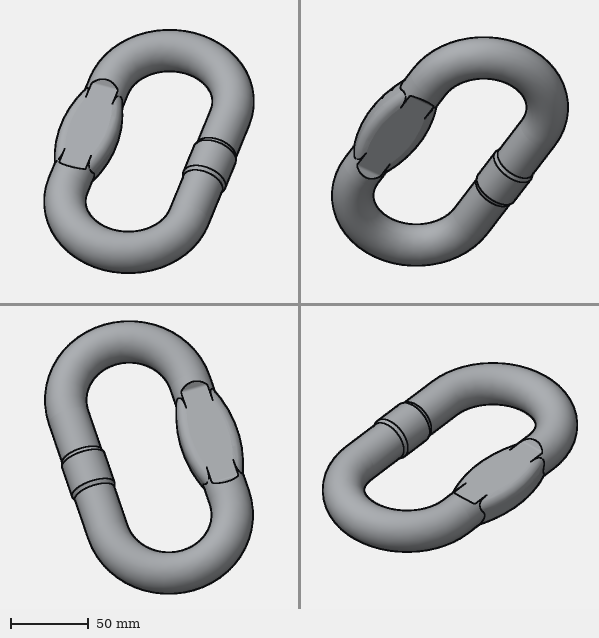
import cadquery as cq
import math

link_length = 193.7
bar_diameter = 27.0
bar_radius = bar_diameter / 2
link_width = 108.9
bend_radius = (link_width - bar_diameter) / 2
straight_length = link_length - link_width
half_straight = straight_length / 2

collar_diameter = 29.0
collar_length = 27.3
collar_taper_length = 3.0

flat_height = 10.0
flat_half_length = 33.5
flat_corner_radius = 2.3

bulge_half_width = 18.8
bulge_side_radius = 81.4
bulge_edge_radius = 6.5
bulge_half_length = 33.0


def oval_bar():
    """Sweep the round bar along its closed oval centreline."""
    centreline = (
        cq.Workplane("XY")
        .moveTo(bend_radius, -half_straight)
        .lineTo(bend_radius, half_straight)
        .threePointArc((0, half_straight + bend_radius), (-bend_radius, half_straight))
        .lineTo(-bend_radius, -half_straight)
        .threePointArc((0, -half_straight - bend_radius), (bend_radius, -half_straight))
        .close()
    )
    section = cq.Workplane("XZ", origin=(bend_radius, -half_straight, 0)).circle(bar_radius)
    return section.sweep(centreline)


def collar():
    """Turn a collar whose ends taper down to the bar."""
    collar_radius = collar_diameter / 2
    half_length = collar_length / 2
    half_land = half_length - collar_taper_length
    return (
        cq.Workplane("XY")
        .moveTo(0, -half_length)
        .lineTo(bar_radius, -half_length)
        .lineTo(collar_radius, -half_land)
        .lineTo(collar_radius, half_land)
        .lineTo(bar_radius, half_length)
        .lineTo(0, half_length)
        .close()
        .revolve(360, (0, 0, 0), (0, 1, 0))
        .translate((bend_radius, 0, 0))
    )


def flat_cutter():
    """Remove the top of the -X leg down to a flat with 45 degree end ramps."""
    ramp_rise = bar_diameter - flat_height
    top_half_length = flat_half_length + ramp_rise
    return (
        cq.Workplane("YZ")
        .moveTo(-flat_half_length, flat_height)
        .lineTo(flat_half_length, flat_height)
        .lineTo(top_half_length, bar_diameter)
        .lineTo(-top_half_length, bar_diameter)
        .close()
        .extrude(bar_radius, both=True)
        .edges("|X and <Z")
        .fillet(flat_corner_radius)
        .translate((-bend_radius, 0, 0))
    )


def bulged_body():
    """Build a plate as thick as the flats, with arched sides and rounded rims."""
    arch_drop = bulge_side_radius - math.sqrt(bulge_side_radius**2 - bulge_half_length**2)
    end_half_width = bulge_half_width - arch_drop
    return (
        cq.Workplane("XY", origin=(-bend_radius, 0, 0))
        .moveTo(end_half_width, -bulge_half_length)
        .threePointArc((bulge_half_width, 0), (end_half_width, bulge_half_length))
        .lineTo(-end_half_width, bulge_half_length)
        .threePointArc((-bulge_half_width, 0), (-end_half_width, -bulge_half_length))
        .close()
        .extrude(flat_height, both=True)
        .edges("%CIRCLE")
        .fillet(bulge_edge_radius)
    )


top_cutter = flat_cutter()
bottom_cutter = top_cutter.mirror("XY")
link = oval_bar().cut(top_cutter).cut(bottom_cutter)
result = link.union(collar()).union(bulged_body()).clean()